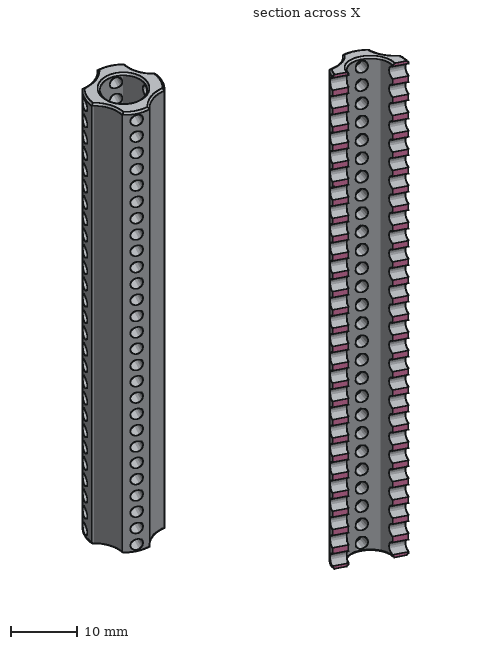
import cadquery as cq
import math

length = 84.4
outer_diameter = 12.5
bore_diameter = 7.2
outer_radius = outer_diameter / 2

lobe_count = 4
lobe_half_width = 2.2
lobe_shoulder = 5.8
flute_floor_radius = 5.0

outer_chamfer = 0.3
bore_chamfer = 0.3

hole_diameter = 2.0
holes_per_row = 27
hole_pitch = 3.1
end_to_first_hole = (length - (holes_per_row - 1) * hole_pitch) / 2


def polar(radius, angle):
    return radius * math.cos(angle), radius * math.sin(angle)


def fluted_outline():
    """Crowned lobe tips joined by concave arcs, drawn counter-clockwise from the +X lobe."""
    lobe_step = 2 * math.pi / lobe_count
    half_lobe = math.atan2(lobe_half_width, lobe_shoulder)
    edge_radius = math.hypot(lobe_half_width, lobe_shoulder)
    outline = cq.Workplane("XY").moveTo(*polar(edge_radius, -half_lobe))
    for lobe in range(lobe_count):
        middle = lobe * lobe_step
        lobe_end = polar(edge_radius, middle + half_lobe)
        next_lobe_start = polar(edge_radius, middle + lobe_step - half_lobe)
        flute_floor = polar(flute_floor_radius, middle + lobe_step / 2)
        outline = outline.threePointArc(polar(outer_radius, middle), lobe_end)
        outline = outline.threePointArc(flute_floor, next_lobe_start)
    return outline.close()


def fluted_bar():
    """Solid bar with the outer edge of both ends chamfered."""
    return fluted_outline().extrude(length).faces("<Z or >Z").edges().chamfer(outer_chamfer)


def bore():
    """Central through bore, opened out by a 45 degree chamfer at each end."""
    bore_radius = bore_diameter / 2
    mouth_radius = bore_radius + bore_chamfer
    half_profile = [
        (0, 0),
        (mouth_radius, 0),
        (bore_radius, bore_chamfer),
        (bore_radius, length - bore_chamfer),
        (mouth_radius, length),
        (0, length),
    ]
    return cq.Workplane("XZ").polyline(half_profile).close().revolve(360, (0, 0), (0, 1))


def hole_row(plane):
    """One row of cross holes, spaced along the tube and normal to the given plane."""
    heights = [end_to_first_hole + index * hole_pitch for index in range(holes_per_row)]
    centers = [(0, height) for height in heights]
    row = cq.Workplane(plane).pushPoints(centers).circle(hole_diameter / 2)
    return row.extrude(outer_diameter, both=True)


result = fluted_bar().cut(bore())
for plane in ("XZ", "YZ"):
    result = result.cut(hole_row(plane))